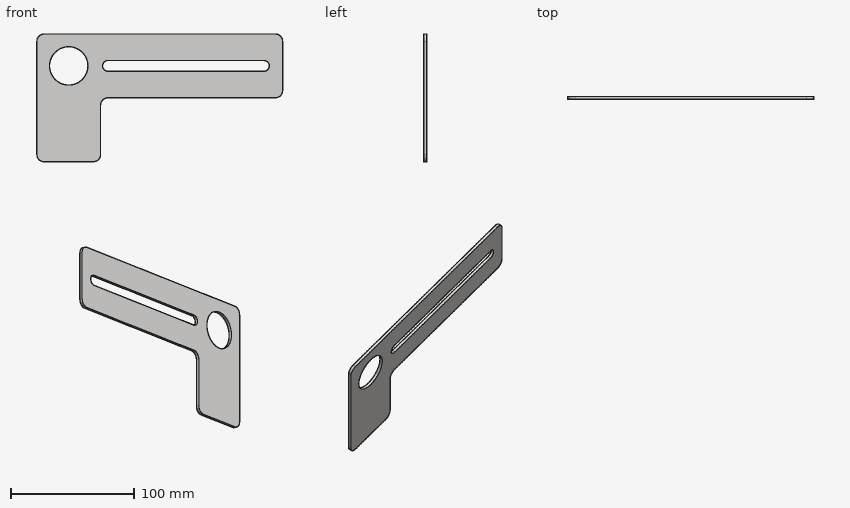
import cadquery as cq

length = 200.0
height = 104.0
thickness = 2.5
band_width = height / 2
corner_radius = 6.0

hole_diameter = 31.0
hole_x = band_width / 2
arm_center_z = height - band_width / 2

slot_start = 53.5
slot_end = 189.0
slot_width = 8.5


def front_sketch():
    """Work plane whose normal is -Y, with X to the right and Z up."""
    return cq.Workplane("XZ")


def make_plate():
    arm_bottom = height - band_width
    return (
        front_sketch()
        .polyline([
            (0, 0),
            (band_width, 0),
            (band_width, arm_bottom),
            (length, arm_bottom),
            (length, height),
            (0, height),
        ])
        .close()
        .extrude(thickness)
        .edges("|Y")
        .fillet(corner_radius)
    )


def make_hole():
    return (
        front_sketch()
        .center(hole_x, arm_center_z)
        .circle(hole_diameter / 2)
        .extrude(thickness)
    )


def make_slot():
    return (
        front_sketch()
        .center((slot_start + slot_end) / 2, arm_center_z)
        .slot2D(slot_end - slot_start, slot_width)
        .extrude(thickness)
    )


result = make_plate().cut(make_hole()).cut(make_slot())